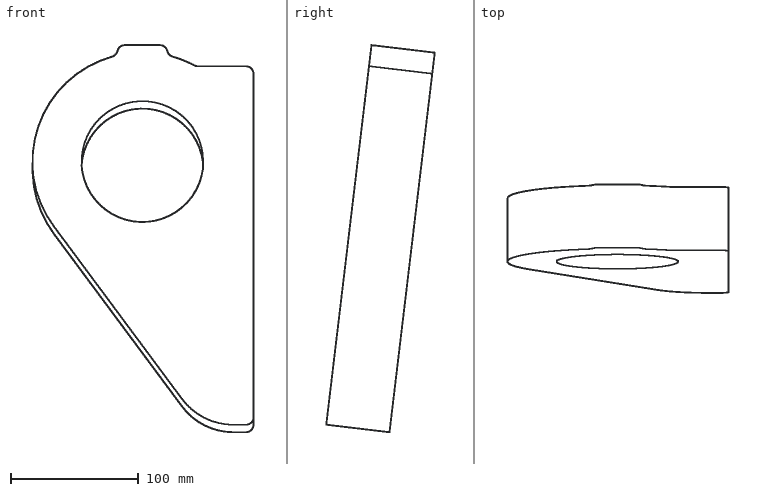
import cadquery as cq
import math

overall_height = 302.8
thickness = 50.0
tilt = 6.8
head_radius = 86.0
bore_diameter = 95.0
side_x = 87.0
tab_top = 91.8
tab_flat_half = 13.5
shoulder_top = 75.0
flank_angle = 36.4
foot_radius = 50.0
blend_radius = 6.0


def polar(radius, angle, center=(0, 0)):
    """Point at the given radius and angle (radians) around a center."""
    return (center[0] + radius * math.cos(angle), center[1] + radius * math.sin(angle))


def midpoint(a, b):
    return ((a[0] + b[0]) / 2, (a[1] + b[1]) / 2)


def mirrored(point):
    return (-point[0], point[1])


def angle_of(point, center=(0, 0)):
    return math.atan2(point[1] - center[1], point[0] - center[0])


def arc_middle(center, start, end):
    """Point halfway along the shorter arc from start to end."""
    radius = math.dist(center, start)
    return polar(radius, angle_of(midpoint(start, end), center), center)


blend_orbit = head_radius + blend_radius
tab_round = (tab_flat_half, tab_top - blend_radius)
tab_round_distance = math.hypot(*tab_round)
orbit_step = math.acos(
    (tab_round_distance**2 + blend_orbit**2 - (2 * blend_radius) ** 2)
    / (2 * tab_round_distance * blend_orbit)
)
tab_hollow = polar(blend_orbit, angle_of(tab_round) - orbit_step)
tab_edge = (tab_flat_half, tab_top)
tab_turn = midpoint(tab_round, tab_hollow)
tab_foot = polar(head_radius, angle_of(tab_hollow))
tab_round_middle = arc_middle(tab_round, tab_edge, tab_turn)
tab_hollow_middle = arc_middle(tab_hollow, tab_turn, tab_foot)

hollow_y = shoulder_top + blend_radius
shoulder_hollow = (math.sqrt(blend_orbit**2 - hollow_y**2), hollow_y)
head_end = polar(head_radius, angle_of(shoulder_hollow))
shoulder_start = (shoulder_hollow[0], shoulder_top)

lean = math.radians(tilt)
plate_length = (overall_height - thickness * math.sin(lean)) / math.cos(lean)
foot_bottom = tab_top - plate_length

flank_normal = math.pi + math.radians(flank_angle)
flank_start = polar(head_radius, flank_normal)
foot_y = foot_bottom + foot_radius
foot_x = (head_radius - foot_radius - foot_y * math.sin(flank_normal)) / math.cos(flank_normal)
foot_center = (foot_x, foot_y)
flank_end = polar(foot_radius, flank_normal, foot_center)
foot_end = (foot_x, foot_bottom)

back_center = (0, thickness / 2, 0)
profile = (
    cq.Workplane("XZ", origin=back_center)
    .moveTo(*mirrored(tab_edge))
    .lineTo(*tab_edge)
    .threePointArc(tab_round_middle, tab_turn)
    .threePointArc(tab_hollow_middle, tab_foot)
    .threePointArc(arc_middle((0, 0), tab_foot, head_end), head_end)
    .threePointArc(arc_middle(shoulder_hollow, head_end, shoulder_start), shoulder_start)
    .lineTo(side_x, shoulder_top)
    .lineTo(side_x, foot_bottom)
    .lineTo(*foot_end)
    .threePointArc(arc_middle(foot_center, foot_end, flank_end), flank_end)
    .lineTo(*flank_start)
    .threePointArc((-head_radius, 0), mirrored(tab_foot))
    .threePointArc(mirrored(tab_hollow_middle), mirrored(tab_turn))
    .threePointArc(mirrored(tab_round_middle), mirrored(tab_edge))
    .close()
)

plate = profile.extrude(thickness)
plate = plate.faces(">X").edges("|Y").fillet(blend_radius)
bore = cq.Workplane("XZ", origin=back_center).circle(bore_diameter / 2).extrude(thickness)

result = plate.cut(bore).rotate((0, 0, 0), (1, 0, 0), -tilt)